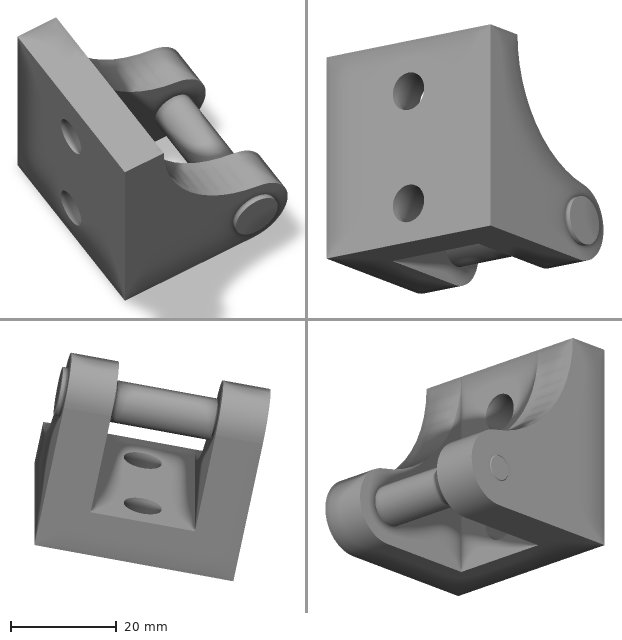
import cadquery as cq
import math

width = 38.35
height = 39.6
depth = 36.3
plate_thickness = 8.67
ear_thickness = 9.1
ear_radius = 7.55

mount_hole_diameter = 7.33
mount_hole_low_z = 7.6
mount_hole_spacing = 22.05

pin_diameter = 6.38
pin_tip_diameter = 5.1
pin_tip_protrusion = 0.08
pin_chamfer = 0.2
head_diameter = 9.35
head_thickness = 1.05

roller_diameter = 8.0
roller_start_x = 9.5
roller_length = 19.15

pin_y = depth - ear_radius
pin_z = ear_radius

pin_to_plate = pin_y - plate_thickness
pin_to_top = height - pin_z
flank_radius = (pin_to_plate**2 + pin_to_top**2 - ear_radius**2) / (2 * (pin_to_plate + ear_radius))
flank_center_y = plate_thickness + flank_radius

tangent_angle = math.atan2(pin_z - height, pin_y - flank_center_y)
flank_middle_angle = (tangent_angle - math.pi) / 2


def flank_point(angle):
    """Point (y, z) on the concave flank arc."""
    return (
        flank_center_y + flank_radius * math.cos(angle),
        height + flank_radius * math.sin(angle),
    )


def x_cylinder(start_x, length, diameter):
    """Cylinder along +X on the pin axis."""
    return (
        cq.Workplane("YZ", origin=(start_x, pin_y, pin_z))
        .circle(diameter / 2)
        .extrude(length)
    )


def make_bracket():
    side_profile = (
        cq.Workplane("YZ")
        .moveTo(0, 0)
        .lineTo(pin_y, 0)
        .threePointArc((depth, pin_z), flank_point(tangent_angle))
        .threePointArc(flank_point(flank_middle_angle), (plate_thickness, height))
        .lineTo(0, height)
        .close()
    )
    body = side_profile.extrude(width)

    ear_gap = cq.Workplane("XY").box(
        width - 2 * ear_thickness, depth - plate_thickness, height, centered=False
    ).translate((ear_thickness, plate_thickness, 0))
    body = body.cut(ear_gap)

    for z in (mount_hole_low_z, mount_hole_low_z + mount_hole_spacing):
        mount_hole = (
            cq.Workplane("XZ", origin=(width / 2, 0, z))
            .circle(mount_hole_diameter / 2)
            .extrude(-plate_thickness)
        )
        body = body.cut(mount_hole)

    body = body.cut(x_cylinder(0, ear_thickness, pin_tip_diameter))
    return body.cut(x_cylinder(width - ear_thickness, ear_thickness, pin_diameter))


def make_pin():
    tip = x_cylinder(-pin_tip_protrusion, ear_thickness + pin_tip_protrusion, pin_tip_diameter)
    shank = x_cylinder(ear_thickness, width - ear_thickness, pin_diameter)
    head = x_cylinder(width, head_thickness, head_diameter)
    tip = tip.faces("<X").chamfer(pin_chamfer)
    shank = shank.faces("<X").chamfer(pin_chamfer)
    return tip.union(shank).union(head)


def make_roller():
    sleeve = x_cylinder(roller_start_x, roller_length, roller_diameter)
    return sleeve.cut(x_cylinder(roller_start_x, roller_length, pin_diameter))


bracket = make_bracket()
pin = make_pin()
roller = make_roller()

result = cq.Compound.makeCompound([bracket.val(), pin.val(), roller.val()])